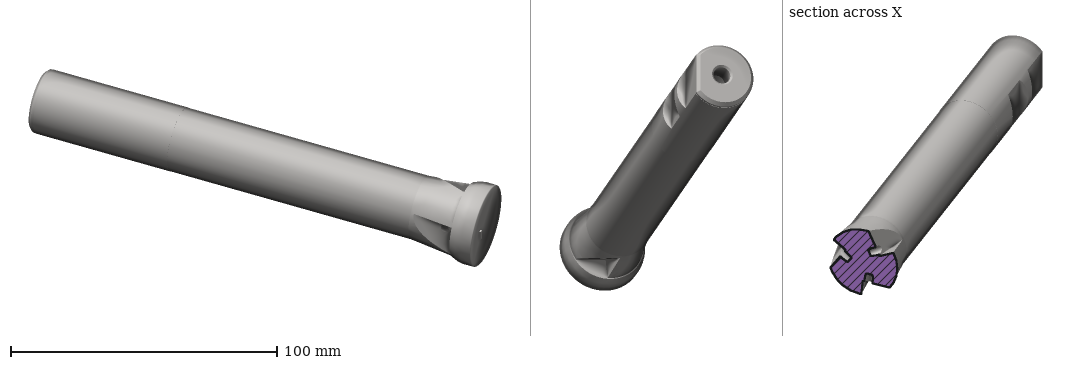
import cadquery as cq
import math

overall_length = 181.0
head_diameter = 32.0
shank_diameter = 25.0
neck_diameter = 24.8

lead_length = 2.4
shank_end = 56.3
neck_end = 153.7
ring_start = 171.0
ring_full = 176.1
ring_round_start = 179.4
ring_end = 180.5

flare_end_radius = 14.3
ring_start_radius = 14.7
ring_face_radius = 13.5

flat_height = 9.8
flat_clearance = 5.5
ramp_angle = 50.0
front_flat_end = 17.2
rear_flat_start = 25.7
rear_flat_end = 38.0

end_chamfer = 1.3
center_hole_diameter = 6.5
center_hole_depth = 9.0
center_hole_countersink = 0.7
drill_point_angle = 118.0

pocket_count = 3
pocket_floor_radius = 6.7
pocket_floor_slope = 20.0
pocket_direction = 36.0
pocket_wall_offset = 1.0
pocket_wall_tilt = 3.0
pocket_reach = 21.7
coolant_hole_diameter = 3.0
coolant_hole_depth = 3.6
coolant_hole_station = 167.2
coolant_hole_wall_gap = 2.0

rib_thickness = 1.0
rib_width = 4.3
rib_center_y = -7.2
rib_center_z = 2.5


def make_shank_and_neck():
    """Revolve the shank, neck and flared body up to the back of the head ring."""
    shank_radius = shank_diameter / 2
    neck_radius = neck_diameter / 2
    profile = (
        cq.Workplane("XY")
        .lineTo(0, neck_radius)
        .lineTo(lead_length, neck_radius)
        .lineTo(lead_length, shank_radius)
        .lineTo(shank_end, shank_radius)
        .lineTo(shank_end, neck_radius)
        .lineTo(neck_end, neck_radius)
        .lineTo(ring_start, flare_end_radius)
        .lineTo(ring_start, 0)
        .close()
    )
    return profile.revolve(360, (0, 0, 0), (1, 0, 0))


def make_head_ring():
    """Revolve the head ring, whose shoulder, land and rim form one smooth curve."""
    head_radius = head_diameter / 2
    outer_curve = [
        (ring_full, head_radius),
        (ring_round_start, head_radius),
        (ring_end, ring_face_radius),
    ]
    along_axis = (1, 0)
    toward_axis = (0, -1)
    shoulder_direction = (ring_full - ring_start, 2 * (head_radius - ring_start_radius))
    curve_tangents = [shoulder_direction, along_axis, along_axis, toward_axis]
    profile = (
        cq.Workplane("XY")
        .moveTo(ring_start, 0)
        .lineTo(ring_start, ring_start_radius)
        .spline(outer_curve, tangents=curve_tangents, includeCurrent=True)
        .lineTo(ring_end, 0)
        .close()
    )
    return profile.revolve(360, (0, 0, 0), (1, 0, 0))


def make_flat_cutters():
    """Two flats with sloped runouts, leaving a boss between them."""
    top = flat_height + flat_clearance
    runout = flat_clearance / math.tan(math.radians(ramp_angle))
    front_outline = [
        (0, flat_height),
        (front_flat_end, flat_height),
        (front_flat_end + runout, top),
        (0, top),
    ]
    rear_outline = [
        (rear_flat_start, flat_height),
        (rear_flat_end, flat_height),
        (rear_flat_end + runout, top),
        (rear_flat_start - runout, top),
    ]
    cutters = cq.Workplane("XY")
    for outline in (front_outline, rear_outline):
        cutters = cutters.add(cq.Workplane("XY").polyline(outline).close().extrude(head_diameter, both=True))
    return cutters.combine()


def make_center_hole():
    """Countersunk hole in the shank end with a conical drill bottom."""
    radius = center_hole_diameter / 2
    point_length = radius / math.tan(math.radians(drill_point_angle / 2))
    profile = (
        cq.Workplane("XY")
        .lineTo(0, radius + center_hole_countersink)
        .lineTo(center_hole_countersink, radius)
        .lineTo(center_hole_depth, radius)
        .lineTo(center_hole_depth + point_length, 0)
        .close()
    )
    return profile.revolve(360, (0, 0, 0), (1, 0, 0))


def make_pocket_cutter():
    """Wedge with a sloping floor and one upright wall, plus a hole square to the floor.

    It is drawn opening towards -Y with its wall facing -Z, then turned about X.
    It runs on past the end of the flared body, which is cut before the ring is added.
    """
    slope = math.tan(math.radians(pocket_floor_slope))
    wedge_length = (pocket_reach - pocket_floor_radius) / slope
    wedge = (
        cq.Workplane("XY")
        .moveTo(ring_start, -pocket_floor_radius)
        .lineTo(ring_end, -pocket_floor_radius)
        .lineTo(ring_end, -pocket_reach)
        .lineTo(ring_start - wedge_length, -pocket_reach)
        .close()
        .extrude(-pocket_reach)
        .translate((0, 0, -pocket_wall_offset))
    )
    pivot = (ring_start, 0, -pocket_wall_offset)
    wedge = wedge.rotate(pivot, (ring_start, 1, -pocket_wall_offset), pocket_wall_tilt)

    hole_floor_radius = pocket_floor_radius + (ring_start - coolant_hole_station) * slope
    floor_angle = math.radians(pocket_floor_slope)
    hole_origin = (
        coolant_hole_station,
        -hole_floor_radius,
        -pocket_wall_offset - coolant_hole_wall_gap,
    )
    outward = (-math.sin(floor_angle), -math.cos(floor_angle), 0)
    hole = (
        cq.Workplane(cq.Plane(hole_origin, xDir=(0, 0, 1), normal=outward))
        .circle(coolant_hole_diameter / 2)
        .extrude(coolant_hole_depth, both=True)
    )
    return wedge.union(hole).rotate((0, 0, 0), (1, 0, 0), -pocket_direction)


body = make_shank_and_neck().cut(make_flat_cutters())
body = body.faces("<X").chamfer(end_chamfer)
body = body.cut(make_center_hole())

pocket_cutter = make_pocket_cutter()
for index in range(pocket_count):
    angle = index * 360 / pocket_count
    body = body.cut(pocket_cutter.rotate((0, 0, 0), (1, 0, 0), angle))

rib_start = ring_round_start
rib_length = overall_length - rib_start
rib = (
    cq.Workplane("YZ", origin=(rib_start, rib_center_y, rib_center_z))
    .rect(rib_thickness, rib_width)
    .extrude(rib_length)
)
result = body.union(make_head_ring()).union(rib)